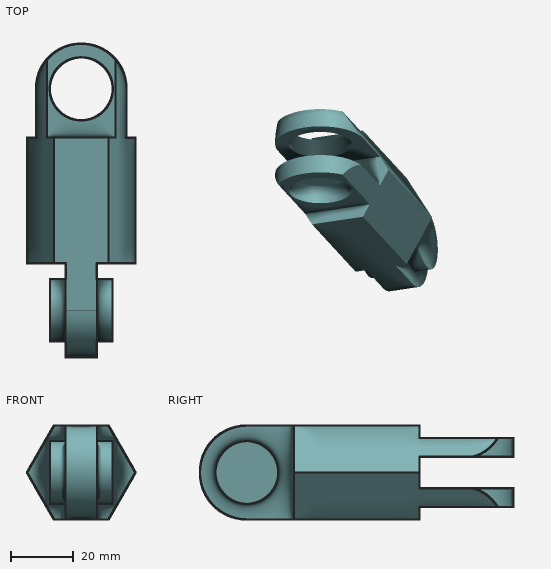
import cadquery as cq
import math

total_length = 100.0
across_flats = 30.0
body_length = 40.0
tongue_length = 30.0
tongue_thickness = 10.0
pin_radius = 10.0
pin_length = 20.0
fork_gap = 10.0
fork_height = 22.0
fork_hole_radius = 10.0

across_corners = 2 * across_flats / math.sqrt(3)
tongue_radius = across_flats / 2
tongue_tip_y = -total_length / 2
pin_y = tongue_tip_y + tongue_radius
body_start_y = tongue_tip_y + tongue_length
body_end_y = body_start_y + body_length
fork_tip_y = total_length / 2
fork_tip_radius = (across_corners - fork_gap / math.sqrt(3)) / 2
fork_hole_y = fork_tip_y - fork_tip_radius


def hex_bar(start_y, end_y):
    """Hexagonal bar along Y with flats facing up and down."""
    return (
        cq.Workplane("XZ", origin=(0, start_y, 0))
        .polygon(6, across_corners)
        .extrude(start_y - end_y)
    )


def cylinder_along_x(radius, length):
    """Cylinder along X through the pin axis, centred on X = 0."""
    return cq.Workplane("YZ").center(pin_y, 0).circle(radius).extrude(length / 2, both=True)


def make_tongue():
    """Flat tongue with a full round tip and a pin standing out on both sides."""
    plate = cq.Workplane("XY").box(
        tongue_thickness, body_start_y - pin_y, across_flats, centered=(True, False, True)
    ).translate((0, pin_y, 0))
    tip = cylinder_along_x(tongue_radius, tongue_thickness)
    pin = cylinder_along_x(pin_radius, pin_length)
    return plate.union(tip).union(pin)


def fork_layer(height):
    """Round-ended plate, centred on Z = 0, that bounds the fork."""
    return (
        cq.Workplane("XY", origin=(0, 0, -height / 2))
        .moveTo(-fork_tip_radius, body_end_y)
        .lineTo(fork_tip_radius, body_end_y)
        .lineTo(fork_tip_radius, fork_hole_y)
        .threePointArc((0, fork_tip_y), (-fork_tip_radius, fork_hole_y))
        .close()
        .extrude(height)
    )


def make_fork():
    """Two round-ended tines with hexagon flanks and one hole through both."""
    tines = fork_layer(fork_height).cut(fork_layer(fork_gap))
    hole = (
        cq.Workplane("XY")
        .center(0, fork_hole_y)
        .circle(fork_hole_radius)
        .extrude(fork_height / 2, both=True)
    )
    return tines.intersect(hex_bar(body_end_y, fork_tip_y)).cut(hole)


result = hex_bar(body_start_y, body_end_y).union(make_tongue()).union(make_fork())